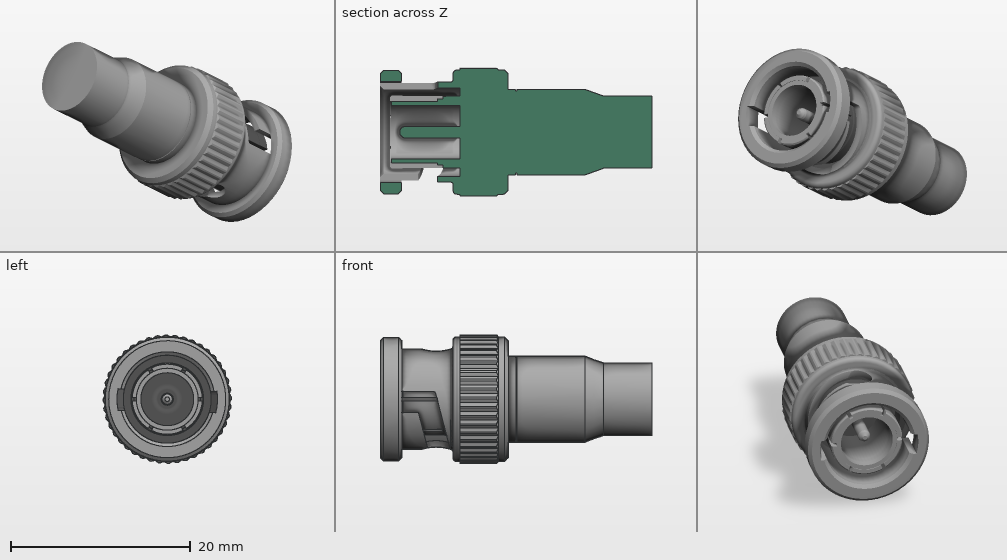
import math
import cadquery as cq


total_length = 30.28
body_diameter = 9.6
cable_end_diameter = 8.1
shoulder_end_x = 22.77
cone_end_x = 24.86
relief_start_x = 15.1
relief_end_x = 15.22
relief_diameter = 9.2

flange_diameter = 13.8
flange_length = 2.4
flange_chamfer = 0.38
sleeve_diameter = 11.2
sleeve_bore_diameter = 9.8
sleeve_bore_depth = 8.85
bore_chamfer = 0.38
collar_diameter = 13.9
collar_start_x = 8.08
collar_end_x = 14.26
collar_round = 0.45
collar_chamfer = 0.45
collar_root_fillet = 0.25

rib_count = 44
rib_start_x = 8.85
rib_end_x = 13.15
rib_tip_diameter = 14.3
rib_land_width = 0.2
rib_phase = 1.0

notch_width = 2.38
notch_depth_radius = sleeve_diameter / 2
notch_centre_front = -0.31
notch_centre_back = -0.05
ramp_left_x = 4.25
ramp_right_x = 6.1
ramp_slope = 0.26
ramp_corner_radius = 0.38
lock_hole_diameter = 3.3
lock_hole_x = 6.22

contact_front_x = 1.12
contact_band_end_x = 2.5
contact_diameter = 8.0
contact_band_diameter = 8.1
contact_chamfer = 0.15
contact_cone_start_x = 7.15
contact_cone_end_x = 7.35
contact_slot_count = 6
contact_slot_width = 0.42
contact_slot_end_x = 6.95
slot_step_x = 6.35
slot_front_floor_diameter = 6.9
slot_rear_floor_diameter = 7.4

insulator_diameter = 6.9
insulator_recess = 0.1
insulator_bore_diameter = 5.9
pin_diameter = 1.35
pin_tip_diameter = 0.5
pin_nose_diameter = 1.15
pin_tip_x = 2.15
pin_nose_length = 0.3
pin_taper_length = 0.25


def cylinder(diameter, start_x, end_x):
    """Solid cylinder on the X axis."""
    return cq.Workplane("YZ", origin=(start_x, 0, 0)).circle(diameter / 2).extrude(end_x - start_x)


def revolve_about_x(profile):
    """Revolve an (X, radius) profile about the X axis."""
    return profile.close().revolve(360, (0, 0, 0), (1, 0, 0))


def make_rear_body():
    body_radius = body_diameter / 2
    relief_radius = relief_diameter / 2
    cable_radius = cable_end_diameter / 2
    profile = (
        cq.Workplane("XY")
        .moveTo(sleeve_bore_depth, 0)
        .lineTo(sleeve_bore_depth, body_radius)
        .lineTo(relief_start_x, body_radius)
        .lineTo(relief_start_x, relief_radius)
        .lineTo(relief_end_x, relief_radius)
        .lineTo(relief_end_x, body_radius)
        .lineTo(shoulder_end_x, body_radius)
        .lineTo(cone_end_x, cable_radius)
        .lineTo(total_length, cable_radius)
        .lineTo(total_length, 0)
    )
    return revolve_about_x(profile)


def make_nut_blank():
    flange = cylinder(flange_diameter, 0, flange_length).edges().chamfer(flange_chamfer)
    sleeve = cylinder(sleeve_diameter, 0, collar_end_x)
    collar = (
        cylinder(collar_diameter, collar_start_x, collar_end_x)
        .faces("<X").edges().fillet(collar_round)
        .faces(">X").edges().chamfer(collar_chamfer)
    )
    sleeve_radius = sleeve_diameter / 2
    root_fillet = revolve_about_x(
        cq.Workplane("XY")
        .moveTo(collar_start_x - collar_root_fillet, sleeve_radius)
        .radiusArc((collar_start_x, sleeve_radius + collar_root_fillet), -collar_root_fillet)
        .lineTo(collar_start_x, sleeve_radius)
    )
    bore = cylinder(sleeve_bore_diameter, 0, sleeve_bore_depth)
    nut = flange.union(sleeve).union(root_fillet).union(collar).cut(bore)
    return nut.faces("<X").edges("%CIRCLE").edges(cq.selectors.RadiusNthSelector(0)).chamfer(bore_chamfer)


def make_knurl():
    """Ribs with flat lands, meeting in V valleys at the collar surface."""
    tip_radius = rib_tip_diameter / 2
    root_radius = collar_diameter / 2
    half_pitch = math.pi / rib_count
    half_land = math.asin(rib_land_width / 2 / tip_radius)
    outline = []
    for i in range(rib_count):
        angle = math.radians(180 - rib_phase) + 2 * half_pitch * i
        for radius, offset in (
            (root_radius, -half_pitch),
            (tip_radius, -half_land),
            (tip_radius, half_land),
        ):
            outline.append((radius * math.cos(angle + offset), radius * math.sin(angle + offset)))
    ribs = (
        cq.Workplane("YZ", origin=(rib_start_x, 0, 0))
        .polyline(outline).close()
        .extrude(rib_end_x - rib_start_x)
    )
    rib_height = tip_radius - root_radius
    envelope = cylinder(rib_tip_diameter, rib_start_x, rib_end_x).faces(">X").edges().chamfer(rib_height)
    return ribs.intersect(envelope)


def make_bayonet_track(notch_centre):
    """Cutter for the track that enters on the -Y side and locks on the -Z side."""
    top = notch_centre + notch_width / 2
    bottom = notch_centre - notch_width / 2
    ramp_end_z = -flange_diameter / 2
    track = (
        cq.Workplane("XZ")
        .moveTo(0, top)
        .lineTo(ramp_right_x, top)
        .lineTo(ramp_right_x + ramp_slope * (top - ramp_end_z), ramp_end_z)
        .lineTo(ramp_left_x + ramp_slope * (bottom - ramp_end_z), ramp_end_z)
        .lineTo(ramp_left_x, bottom)
        .lineTo(0, bottom)
        .close()
        .extrude(notch_depth_radius)
        .edges(cq.selectors.NearestToPointSelector((ramp_right_x, -notch_depth_radius / 2, top)))
        .fillet(ramp_corner_radius)
    )
    track = track.intersect(cylinder(2 * notch_depth_radius, 0, collar_start_x))
    lock_hole = (
        cq.Workplane("XY", origin=(lock_hole_x, 0, 0))
        .circle(lock_hole_diameter / 2)
        .extrude(-notch_depth_radius - collar_root_fillet)
    )
    return track.union(lock_hole)


def make_nut():
    front_track = make_bayonet_track(notch_centre_front)
    back_track = make_bayonet_track(-notch_centre_back).rotate((0, 0, 0), (1, 0, 0), 180)
    return make_nut_blank().cut(front_track).cut(back_track).union(make_knurl())


def make_contact_slots():
    """Radial slot cutters whose floor steps outward near the rear end."""
    slots = cq.Workplane("XY")
    slot_length = contact_slot_end_x - contact_front_x
    for i in range(contact_slot_count):
        slot = (
            cq.Workplane("XY")
            .box(slot_length, contact_band_diameter, contact_slot_width, centered=(False, False, True))
            .translate((contact_front_x, 0, 0))
            .rotate((0, 0, 0), (1, 0, 0), 360 / contact_slot_count * i)
        )
        slots = slots.add(slot)
    front_floor = cylinder(slot_front_floor_diameter, contact_front_x, slot_step_x)
    rear_floor = cylinder(slot_rear_floor_diameter, slot_step_x, contact_slot_end_x)
    return slots.combine().cut(front_floor).cut(rear_floor)


def make_contact():
    """Outer contact and insulator, bored out around the pin."""
    band = (
        cylinder(contact_band_diameter, contact_front_x, contact_band_end_x)
        .faces("<X").edges().chamfer(contact_chamfer)
    )
    tube_radius = contact_diameter / 2
    root_radius = contact_band_diameter / 2
    tube = revolve_about_x(
        cq.Workplane("XY")
        .moveTo(contact_front_x + contact_chamfer, 0)
        .lineTo(contact_front_x + contact_chamfer, tube_radius)
        .lineTo(contact_cone_start_x, tube_radius)
        .lineTo(contact_cone_end_x, root_radius)
        .lineTo(sleeve_bore_depth, root_radius)
        .lineTo(sleeve_bore_depth, 0)
    )
    recess = cylinder(insulator_diameter, contact_front_x, contact_front_x + insulator_recess)
    bore = cylinder(insulator_bore_diameter, contact_front_x, sleeve_bore_depth)
    return band.union(tube).cut(make_contact_slots()).cut(recess).cut(bore)


def make_pin():
    return revolve_about_x(
        cq.Workplane("XY")
        .moveTo(pin_tip_x, 0)
        .lineTo(pin_tip_x, pin_tip_diameter / 2)
        .lineTo(pin_tip_x + pin_nose_length, pin_nose_diameter / 2)
        .lineTo(pin_tip_x + pin_nose_length + pin_taper_length, pin_diameter / 2)
        .lineTo(sleeve_bore_depth, pin_diameter / 2)
        .lineTo(sleeve_bore_depth, 0)
    )


result = (
    make_nut()
    .union(make_rear_body())
    .union(make_contact())
    .union(make_pin())
)